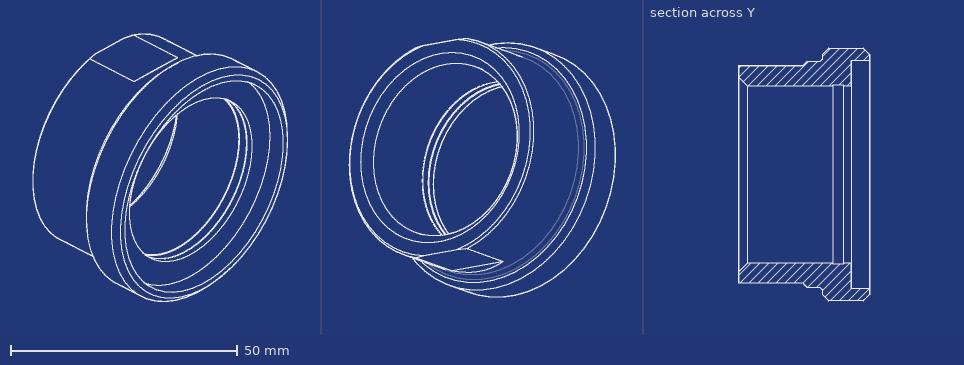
import cadquery as cq

length = 29.0
flange_diameter = 55.85
sleeve_diameter = 50.0
bore_diameter = 38.9
flange_width = 10.5
flange_chamfer = 1.4
sleeve_chamfer = 0.55
neck_fillet = 0.9

mouth_diameter = 42.95
mouth_depth = (mouth_diameter - bore_diameter) / 2

groove_diameter = 39.4
groove_start = 20.85
groove_width = 2.35

counterbore_diameter = 50.25
counterbore_depth = 4.1

flat_spacing = 48.05
flat_length = 14.2


def make_body():
    """Revolve the stepped ring section about X."""
    flange_face = length - flange_width
    flange_radius = flange_diameter / 2
    sleeve_radius = sleeve_diameter / 2
    bore_radius = bore_diameter / 2
    groove_radius = groove_diameter / 2
    groove_end = groove_start + groove_width
    counterbore_radius = counterbore_diameter / 2
    counterbore_floor = length - counterbore_depth
    section = (
        cq.Workplane("XY")
        .moveTo(0, mouth_diameter / 2)
        .lineTo(0, sleeve_radius - sleeve_chamfer)
        .lineTo(sleeve_chamfer, sleeve_radius)
        .lineTo(flange_face - neck_fillet, sleeve_radius)
        .radiusArc((flange_face, sleeve_radius + neck_fillet), -neck_fillet)
        .lineTo(flange_face, flange_radius - flange_chamfer)
        .lineTo(flange_face + flange_chamfer, flange_radius)
        .lineTo(length - flange_chamfer, flange_radius)
        .lineTo(length, flange_radius - flange_chamfer)
        .lineTo(length, counterbore_radius)
        .lineTo(counterbore_floor, counterbore_radius)
        .lineTo(counterbore_floor, bore_radius)
        .lineTo(groove_end, bore_radius)
        .lineTo(groove_end, groove_radius)
        .lineTo(groove_start, groove_radius)
        .lineTo(groove_start, bore_radius)
        .lineTo(mouth_depth, bore_radius)
        .close()
    )
    return section.revolve(360, (0, 0, 0), (1, 0, 0))


def make_flat_cutter():
    """Prism above the top flat, with a ramped inner end."""
    flat_height = flat_spacing / 2
    cut_height = flange_diameter / 2 - flat_height
    return (
        cq.Workplane("XZ")
        .moveTo(0, flat_height)
        .lineTo(flat_length, flat_height)
        .lineTo(flat_length + cut_height, flat_height + cut_height)
        .lineTo(0, flat_height + cut_height)
        .close()
        .extrude(sleeve_diameter / 2, both=True)
    )


result = make_body()
for turn in (0, 180):
    result = result.cut(make_flat_cutter().rotate((0, 0, 0), (1, 0, 0), turn))